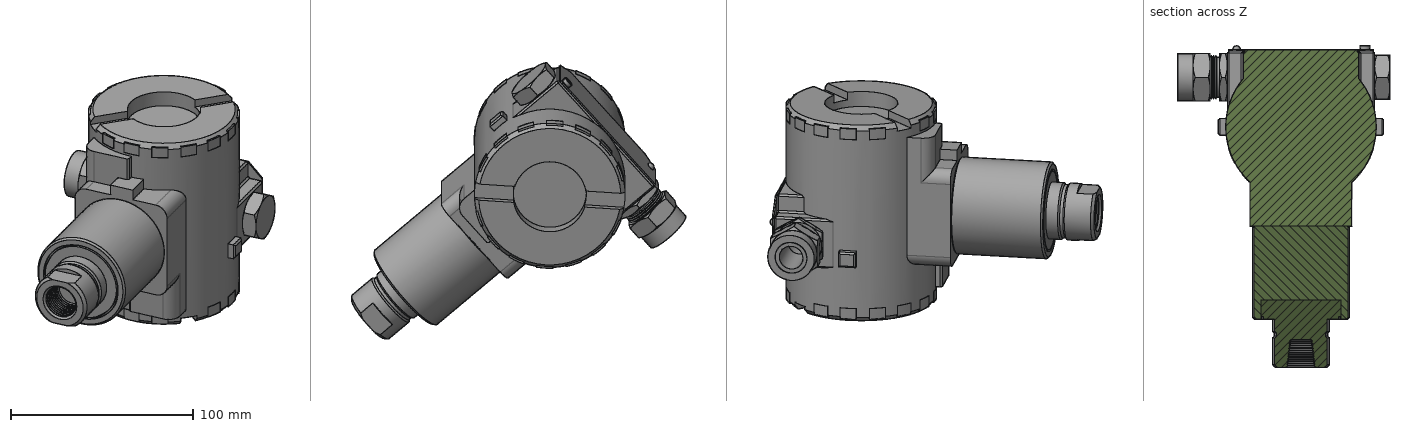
import cadquery as cq
import math


DRUM_R = 41.3
DRUM_HALF_H = 56.5
RIM_CHAMFER_R = 2.3
RIM_CHAMFER_H = 2.7
WINDOW_R = 20.05
WINDOW_DEPTH = 8.7
KEY_SLOT_W = 9.2
KEY_SLOT_DEPTH = 4.5
KEY_SLOT_ANGLE = 45

TOOTH_COUNT = 16
TOOTH_R = 41.5
TOOTH_W = 9.0
TOOTH_H = 6.2
TOOTH_ROOT_R = 38.0
TOOTH_FROM_END = 1.6

NECK_Z = 0.45
NECK_W = 56.0
NECK_FRONT_Y = -54.6
NECK_CORNER_R = 6.9
PAD_FRONT_Y = -45.0
PAD_END_Z = 47.4
PAD_CHAMFER = 1.0
NECK_KEY_X = 0.4
NECK_KEY_W = 13.6
NECK_KEY_TOP = 34.5
JOIN_Y = -17.7

CONDUIT_HALF_W = 40.5
CONDUIT_BACK_Y = 41.5
CONDUIT_BOTTOM = -26.9
CONDUIT_TOP = 1.5
HUMP_HALF_W = 31.8
HUMP_TOP = 11.7
EDGE_CHAMFER = 1.0
BACK_PLATE_T = 0.9
BACK_PLATE_INSET = 0.7

DOME_X = -35.3
DOME_Z = -3.4
DOME_R = 2.1
SCREW_X = 35.2
SCREW_Z = -21.9
SCREW_R = 2.8
SCREW_H = 2.1
SCREW_SLOT_W = 1.0
SCREW_SLOT_DEPTH = 1.5

LUG_WIDTH = 9.4
LUG_HEIGHT = 8.7
LUG_Z = -19.8
LUG_END_X = 45.5
LUG_CHAMFER = 0.97

SLEEVE_R = 26.7
SLEEVE_END_Y = -105.7
SLEEVE_END_CHAMFER = 1.0
SLEEVE_BASE_CHAMFER = 0.5
SEAT_R = 22.7
SEAT_DEPTH = 10.6
RING_GROOVE_W = 1.0
RING_GROOVE_DEPTH = 1.5
SPIGOT_R = 15.7
SPIGOT_END_Y = -132.2
SPIGOT_CHAMFER = 1.6
NECKING_R = 14.75
NECKING_START_Y = -112.2
NECKING_END_Y = -116.0
FLAT_START_Y = -121.7
FLAT_HALF_H = 13.5
PORT_ENTRY_R = 10.2
PORT_CREST_R = 9.0
PORT_THREAD_DEPTH = 0.7
PORT_TAPER_PER_TURN = 0.12
PORT_PITCH = 1.5
PORT_TURNS = 10

CONDUIT_Y = 27.2
CONDUIT_Z = -12.7
GLAND_BORE_R = 6.5
GLAND_AF = 26.2
GLAND_CAP_D = 26.0
GLAND_END_X = -67.7
CAP_LENGTH = 8.5
CAP_HEX_LENGTH = 9.4
GLAND_ROOT_R = 11.05
GLAND_THREAD_DEPTH = 0.8
GLAND_PITCH = 1.2
GLAND_TURNS = 3
FLANGE_LENGTH = 4.2
FACE_RECESS_R = 8.8
FACE_RECESS_DEPTH = 0.5
PLUG_AF = 24.2
PLUG_END_X = 48.8
HEX_CHAMFER = 1.0


def box(x, y, z):
    """Box from the (low, high) limits along each axis."""
    size = [high - low for low, high in (x, y, z)]
    return cq.Workplane("XY").box(*size, centered=False).translate((x[0], y[0], z[0]))


def thread_points(start, pitch, turns, start_r, depth, taper=0):
    """Zigzag (position, radius) points of ring-shaped thread turns, shrinking by taper each turn."""
    points = []
    for turn in range(turns):
        turn_r = start_r - turn * taper
        points.append((start + turn * pitch, turn_r))
        points.append((start + (turn + 0.5) * pitch, turn_r + depth))
    points.append((start + turns * pitch, start_r - turns * taper))
    return points


def turned_on_neck(points):
    """Solid of revolution about the neck axis from (y, radius) points."""
    profile = cq.Workplane("XY").polyline([(r, y) for y, r in points]).close()
    return profile.revolve(360, (0, 0), (0, 1)).translate((0, 0, NECK_Z))


def turned_on_conduit(points):
    """Solid of revolution about the conduit axis from (x, radius) points."""
    profile = cq.Workplane("XY").polyline(points).close()
    return profile.revolve(360, (0, 0), (1, 0)).translate((0, CONDUIT_Y, CONDUIT_Z))


def hexagon(x_start, x_end, across_flats):
    """Hexagon on the conduit axis, corners up and down, with both ends turned down to the flats."""
    corner_r = across_flats / math.sqrt(3)
    flat_r = across_flats / 2
    prism = (
        cq.Workplane("YZ")
        .polygon(6, 2 * corner_r)
        .extrude(x_end - x_start)
        .rotate((0, 0, 0), (1, 0, 0), 30)
        .translate((x_start, CONDUIT_Y, CONDUIT_Z))
    )
    envelope = turned_on_conduit([
        (x_start, 0),
        (x_start, flat_r),
        (x_start + HEX_CHAMFER, corner_r),
        (x_end - HEX_CHAMFER, corner_r),
        (x_end, flat_r),
        (x_end, 0),
    ])
    return prism.intersect(envelope)


def lid_details(drum):
    """Grip teeth, window and key slot at the upper end of the drum."""
    top = DRUM_HALF_H
    tooth_top = top - TOOTH_FROM_END
    tooth_bottom = tooth_top - TOOTH_H
    tooth_disc = cq.Workplane("XY").workplane(offset=tooth_bottom).circle(TOOTH_R).extrude(TOOTH_H)
    tooth = box((TOOTH_ROOT_R, 2 * TOOTH_R), (-TOOTH_W / 2, TOOTH_W / 2), (tooth_bottom, tooth_top))
    tooth = tooth.intersect(tooth_disc)
    for index in range(TOOTH_COUNT):
        angle = index * 360 / TOOTH_COUNT
        if angle % 180 != KEY_SLOT_ANGLE:
            drum = drum.union(tooth.rotate((0, 0, 0), (0, 0, 1), angle))
    slot = box((-2 * TOOTH_R, 2 * TOOTH_R), (-KEY_SLOT_W / 2, KEY_SLOT_W / 2), (top - KEY_SLOT_DEPTH, top))
    window = cq.Workplane("XY").workplane(offset=top - WINDOW_DEPTH).circle(WINDOW_R).extrude(WINDOW_DEPTH)
    return drum.cut(slot.rotate((0, 0, 0), (0, 0, 1), KEY_SLOT_ANGLE)).cut(window)


def make_drum():
    """Chamfered drum with the same lid details at both ends, one turned over about X."""
    rim_r = DRUM_R - RIM_CHAMFER_R
    rim_z = DRUM_HALF_H - RIM_CHAMFER_H
    profile = [
        (0, -DRUM_HALF_H),
        (rim_r, -DRUM_HALF_H),
        (DRUM_R, -rim_z),
        (DRUM_R, rim_z),
        (rim_r, DRUM_HALF_H),
        (0, DRUM_HALF_H),
    ]
    drum = cq.Workplane("XZ").polyline(profile).close().revolve(360, (0, 0), (0, 1))
    for _ in range(2):
        drum = lid_details(drum).rotate((0, 0, 0), (1, 0, 0), 180)
    return drum


def make_pad():
    """Upper pad on the -X half of the drum front, rounded outside and chamfered at the middle."""
    pad = box((-NECK_W / 2, 0), (PAD_FRONT_Y, JOIN_Y), (0, PAD_END_Z))
    pad = pad.edges("|Z and <X and <Y").fillet(NECK_CORNER_R)
    return pad.edges("|Z and >X and <Y").chamfer(PAD_CHAMFER)


def make_neck():
    """Rounded neck block, its key and the two pads."""
    half = NECK_W / 2
    block = box((-half, half), (NECK_FRONT_Y, JOIN_Y), (NECK_Z - half, NECK_Z + half))
    block = block.edges("|Y").fillet(NECK_CORNER_R)
    key_x = (NECK_KEY_X - NECK_KEY_W / 2, NECK_KEY_X + NECK_KEY_W / 2)
    key = box(key_x, (NECK_FRONT_Y, JOIN_Y), (NECK_Z, NECK_KEY_TOP))
    upper_pad = make_pad()
    lower_pad = upper_pad.rotate((0, 0, 0), (0, 1, 0), 180)
    return block.union(key).union(upper_pad).union(lower_pad)


def make_conduit_block():
    """Wide conduit block, the narrower hump flaring into it, and the thin back plate."""
    block = box(
        (-CONDUIT_HALF_W, CONDUIT_HALF_W), (0, CONDUIT_BACK_Y), (CONDUIT_BOTTOM, CONDUIT_TOP)
    ).edges("|Y or >Y").chamfer(EDGE_CHAMFER)

    hump_side = [
        (HUMP_HALF_W, CONDUIT_Z),
        (HUMP_HALF_W + EDGE_CHAMFER, CONDUIT_TOP),
        (HUMP_HALF_W, CONDUIT_TOP + EDGE_CHAMFER),
        (HUMP_HALF_W, HUMP_TOP - EDGE_CHAMFER),
        (HUMP_HALF_W - EDGE_CHAMFER, HUMP_TOP),
    ]
    hump_outline = hump_side + [(-x, z) for x, z in reversed(hump_side)]
    hump = cq.Workplane("XZ").polyline(hump_outline).close().extrude(-CONDUIT_BACK_Y)
    hump = hump.faces(">Y").edges().chamfer(EDGE_CHAMFER)

    plate_side = [
        (CONDUIT_HALF_W - BACK_PLATE_INSET, CONDUIT_BOTTOM + BACK_PLATE_INSET),
        (CONDUIT_HALF_W - BACK_PLATE_INSET, CONDUIT_TOP + BACK_PLATE_INSET),
        (HUMP_HALF_W - BACK_PLATE_INSET, HUMP_TOP - EDGE_CHAMFER),
    ]
    plate_outline = plate_side + [(-x, z) for x, z in reversed(plate_side)]
    plate = (
        cq.Workplane("XZ", origin=(0, CONDUIT_BACK_Y, 0))
        .polyline(plate_outline)
        .close()
        .extrude(-BACK_PLATE_T)
    )
    return block.union(hump).union(plate)


def make_back_fasteners():
    """Dome and slotted screw head standing on the back plate."""
    plate_y = CONDUIT_BACK_Y + BACK_PLATE_T
    dome = cq.Workplane("XY").sphere(DOME_R).translate((DOME_X, plate_y, DOME_Z))
    screw = cq.Workplane("XZ", origin=(SCREW_X, plate_y, SCREW_Z)).circle(SCREW_R).extrude(-SCREW_H)
    screw_slot = box(
        (SCREW_X - SCREW_R, SCREW_X + SCREW_R),
        (plate_y + SCREW_H - SCREW_SLOT_DEPTH, plate_y + SCREW_H),
        (SCREW_Z - SCREW_SLOT_W / 2, SCREW_Z + SCREW_SLOT_W / 2),
    )
    return dome.union(screw.cut(screw_slot))


def make_lug():
    """Square lug on the -X side of the drum."""
    half_w = LUG_WIDTH / 2
    half_h = LUG_HEIGHT / 2
    lug = box((-LUG_END_X, -TOOTH_ROOT_R), (-half_w, half_w), (LUG_Z - half_h, LUG_Z + half_h))
    return lug.faces("<X").edges().chamfer(LUG_CHAMFER)


def make_housing():
    """Drum with neck, conduit block, fasteners and lugs; the cable bore stops at the drum."""
    cable_bore = turned_on_conduit([
        (-CONDUIT_HALF_W, 0),
        (-CONDUIT_HALF_W, GLAND_BORE_R),
        (0, GLAND_BORE_R),
        (0, 0),
    ])
    lug = make_lug()
    housing = make_conduit_block().cut(cable_bore).union(make_back_fasteners())
    for part in (make_neck(), lug, lug.mirror("YZ")):
        housing = housing.union(part)
    return housing.union(make_drum())


def make_sleeve():
    """Tubular sleeve closed at the housing end, with a seat for the process connection."""
    seat_y = SLEEVE_END_Y + SEAT_DEPTH
    return turned_on_neck([
        (NECK_FRONT_Y, 0),
        (NECK_FRONT_Y, SLEEVE_R - SLEEVE_BASE_CHAMFER),
        (NECK_FRONT_Y - SLEEVE_BASE_CHAMFER, SLEEVE_R),
        (SLEEVE_END_Y + SLEEVE_END_CHAMFER, SLEEVE_R),
        (SLEEVE_END_Y, SLEEVE_R - SLEEVE_END_CHAMFER),
        (SLEEVE_END_Y, SEAT_R),
        (seat_y, SEAT_R),
        (seat_y, 0),
    ])


def make_process_connection():
    """Seated disc and necked spigot with wrench flats and a threaded port."""
    step = SPIGOT_R - NECKING_R
    shoulder_r = SEAT_R - RING_GROOVE_W
    entry_y = SPIGOT_END_Y + PORT_ENTRY_R - PORT_CREST_R
    port = thread_points(
        entry_y, PORT_PITCH, PORT_TURNS, PORT_CREST_R, PORT_THREAD_DEPTH, PORT_TAPER_PER_TURN
    )
    port_floor_y = port[-1][0]
    body = turned_on_neck([
        (SLEEVE_END_Y + SEAT_DEPTH, 0),
        (SLEEVE_END_Y + SEAT_DEPTH, SEAT_R),
        (SLEEVE_END_Y + RING_GROOVE_DEPTH, SEAT_R),
        (SLEEVE_END_Y + RING_GROOVE_DEPTH, shoulder_r),
        (SLEEVE_END_Y, shoulder_r),
        (SLEEVE_END_Y, SPIGOT_R),
        (NECKING_START_Y, SPIGOT_R),
        (NECKING_START_Y - step, NECKING_R),
        (NECKING_END_Y + step, NECKING_R),
        (NECKING_END_Y, SPIGOT_R),
        (SPIGOT_END_Y + SPIGOT_CHAMFER, SPIGOT_R),
        (SPIGOT_END_Y, SPIGOT_R - SPIGOT_CHAMFER),
        (SPIGOT_END_Y, PORT_ENTRY_R),
        *port,
        (port_floor_y, 0),
    ])
    flat_y = (SPIGOT_END_Y, FLAT_START_Y)
    for outer_z in (SPIGOT_R, -SPIGOT_R):
        flat_z = sorted((NECK_Z + math.copysign(FLAT_HALF_H, outer_z), NECK_Z + outer_z))
        body = body.cut(box((-SPIGOT_R, SPIGOT_R), flat_y, flat_z))
    return body


def make_gland():
    """Cable gland: round cap, hexagon, thread turns, neck and flange hexagon, bored through."""
    flange_x = -CONDUIT_HALF_W - FLANGE_LENGTH
    cap_hex_x = GLAND_END_X + CAP_LENGTH
    thread_x = cap_hex_x + CAP_HEX_LENGTH
    turned_body = turned_on_conduit([
        (GLAND_END_X, 0),
        (GLAND_END_X, GLAND_CAP_D / 2),
        (cap_hex_x, GLAND_CAP_D / 2),
        *thread_points(thread_x, GLAND_PITCH, GLAND_TURNS, GLAND_ROOT_R, GLAND_THREAD_DEPTH),
        (-CONDUIT_HALF_W, GLAND_ROOT_R),
        (-CONDUIT_HALF_W, 0),
    ])
    bore = turned_on_conduit([
        (GLAND_END_X, 0),
        (GLAND_END_X, FACE_RECESS_R),
        (GLAND_END_X + FACE_RECESS_DEPTH, FACE_RECESS_R),
        (GLAND_END_X + FACE_RECESS_DEPTH, GLAND_BORE_R),
        (-CONDUIT_HALF_W, GLAND_BORE_R),
        (-CONDUIT_HALF_W, 0),
    ])
    cap_hex = hexagon(cap_hex_x, thread_x, GLAND_AF)
    flange_hex = hexagon(flange_x, -CONDUIT_HALF_W, GLAND_AF)
    return turned_body.union(cap_hex).union(flange_hex).cut(bore)


def make_plug():
    """Blind hexagon plug on the +X end of the conduit block."""
    return hexagon(CONDUIT_HALF_W, PLUG_END_X, PLUG_AF)


housing = make_housing()
sleeve = make_sleeve()
process_connection = make_process_connection()
gland = make_gland()
plug = make_plug()

result = cq.Compound.makeCompound([
    housing.val(),
    sleeve.val(),
    process_connection.val(),
    gland.val(),
    plug.val(),
])